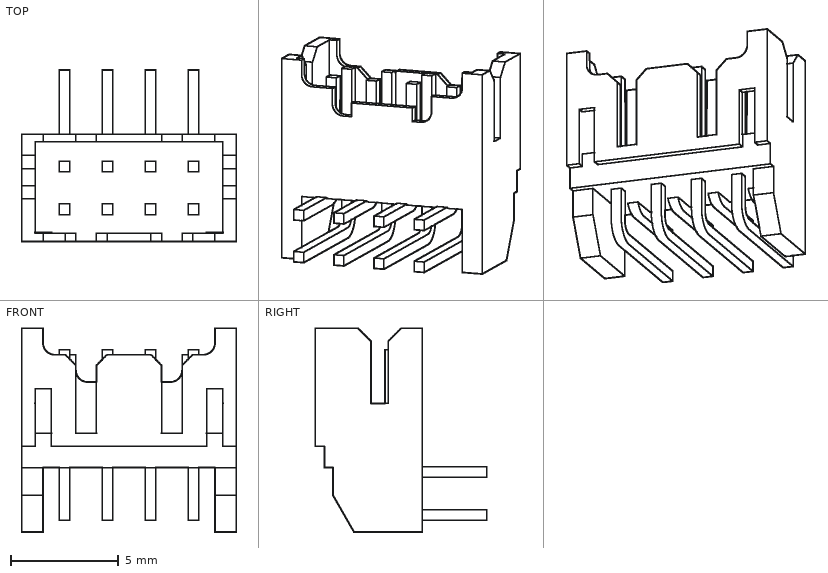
import cadquery as cq

width = 10.0
depth = 5.0
height = 9.5
half_width = width / 2

floor_z = 4.61
front_wall_z = 4.0
base_z = 3.0
shoulder_z = 8.27

side_wall = 0.63
front_wall = 0.39
back_wall = 0.35
base_setback = 0.43
leg_setback = 0.83
leg_width = 1.0
leg_slope_depth = 0.98
leg_slope_z = 1.71

post_width = 1.0
notch_radius = 0.54
tab_chamfer = 0.5
tab_half_width = 1.52
slot_outer_x = 2.47
back_slot_z = 7.0
back_tab_z = 7.65

window_inner_x = 3.61
window_outer_x = half_width - side_wall
window_top_z = 6.67

side_slot_front = 2.61
side_slot_back = 3.4
side_slot_z = 6.0
side_slot_chamfer = 0.61

pin_size = 0.5
pin_pitch = 2.0
pins_per_row = 4
pin_top_z = 8.5
pin_tail_y = 8.0
bend_radius = 1.0
front_row = (1.5, 0.8)
back_row = (3.5, 2.8)


def box(x_range, y_range, z_range):
    """Box between the given limits on each axis."""
    (x0, x1), (y0, y1), (z0, z1) = x_range, y_range, z_range
    return cq.Workplane("XY").box(x1 - x0, y1 - y0, z1 - z0, centered=False).translate((x0, y0, z0))


def mirror_pair(solid):
    """The solid together with its mirror image across X = 0."""
    return solid.union(solid.mirror("YZ"))


def extrude_along_x(profile, x_start, length):
    """Extrude a closed YZ profile towards +X."""
    return profile.extrude(length).translate((x_start, 0, 0))


def extrude_along_y(profile, y_start, length):
    """Extrude a closed XZ profile towards +Y."""
    return profile.extrude(-length).translate((0, y_start, 0))


def make_housing():
    """Stepped body on two legs, with an open cavity above the floor."""
    profile = (
        cq.Workplane("YZ")
        .moveTo(depth, 0)
        .lineTo(leg_setback + leg_slope_depth, 0)
        .lineTo(leg_setback, leg_slope_z)
        .lineTo(leg_setback, base_z)
        .lineTo(base_setback, base_z)
        .lineTo(base_setback, front_wall_z)
        .lineTo(0, front_wall_z)
        .lineTo(0, height)
        .lineTo(depth, height)
        .close()
    )
    leg_inner_x = half_width - leg_width
    cavity_x = half_width - side_wall
    leg_gap = box((-leg_inner_x, leg_inner_x), (0, depth), (0, base_z))
    cavity = box((-cavity_x, cavity_x), (front_wall, depth - back_wall), (floor_z, height))
    return extrude_along_x(profile, -half_width, width).cut(leg_gap).cut(cavity)


def notch_start(plane):
    """Path from the top centre down a corner post and round onto the shoulder."""
    post_x = half_width - post_width
    return (
        plane.moveTo(0, height)
        .lineTo(post_x, height)
        .lineTo(post_x, shoulder_z + notch_radius)
        .radiusArc((post_x - notch_radius, shoulder_z), notch_radius)
    )


def make_front_opening():
    """Half of the front wall's opening: shoulder, slot and chamfered centre tab."""
    profile = (
        notch_start(cq.Workplane("XZ"))
        .lineTo(slot_outer_x + tab_chamfer, shoulder_z)
        .lineTo(slot_outer_x, shoulder_z - tab_chamfer)
        .lineTo(slot_outer_x, floor_z)
        .lineTo(tab_half_width, floor_z)
        .lineTo(tab_half_width, shoulder_z - tab_chamfer)
        .lineTo(tab_half_width - tab_chamfer, shoulder_z)
        .lineTo(0, shoulder_z)
        .close()
    )
    return extrude_along_y(profile, 0, front_wall)


def make_back_opening():
    """Half of the back wall's opening: shoulder, rounded notch and centre tab."""
    profile = (
        notch_start(cq.Workplane("XZ"))
        .lineTo(slot_outer_x, shoulder_z)
        .lineTo(slot_outer_x, back_slot_z + notch_radius)
        .radiusArc((slot_outer_x - notch_radius, back_slot_z), notch_radius)
        .lineTo(tab_half_width, back_slot_z)
        .lineTo(tab_half_width, back_tab_z)
        .lineTo(0, back_tab_z)
        .close()
    )
    return extrude_along_y(profile, depth - back_wall, back_wall)


def make_window():
    """Window through the front wall next to a corner, reaching back to the base block."""
    return box((window_inner_x, window_outer_x), (0, base_setback), (front_wall_z, window_top_z))


def make_side_slot():
    """Slot through a side wall with a chamfered mouth."""
    mouth_z = height - side_slot_chamfer
    profile = (
        cq.Workplane("YZ")
        .moveTo(side_slot_front, side_slot_z)
        .lineTo(side_slot_back, side_slot_z)
        .lineTo(side_slot_back, mouth_z)
        .lineTo(side_slot_back + side_slot_chamfer, height)
        .lineTo(side_slot_front - side_slot_chamfer, height)
        .lineTo(side_slot_front, mouth_z)
        .close()
    )
    return extrude_along_x(profile, half_width - side_wall, side_wall)


def make_pin(x, upright_y, tail_z):
    """Square pin bent from an upright into a tail leaving through the back."""
    front_y = upright_y - pin_size / 2
    back_y = front_y + pin_size
    bottom_z = tail_z - pin_size / 2
    top_z = bottom_z + pin_size
    bend_y = front_y + bend_radius
    bend_z = bottom_z + bend_radius
    profile = (
        cq.Workplane("YZ")
        .moveTo(front_y, pin_top_z)
        .lineTo(front_y, bend_z)
        .radiusArc((bend_y, bottom_z), -bend_radius)
        .lineTo(pin_tail_y, bottom_z)
        .lineTo(pin_tail_y, top_z)
        .lineTo(bend_y, top_z)
        .radiusArc((back_y, bend_z), bend_radius - pin_size)
        .lineTo(back_y, pin_top_z)
        .close()
    )
    return extrude_along_x(profile, x - pin_size / 2, pin_size)


result = make_housing()
for opening in (make_front_opening(), make_back_opening(), make_window(), make_side_slot()):
    result = result.cut(mirror_pair(opening))

first_pin_x = -pin_pitch * (pins_per_row - 1) / 2
for row_y, row_tail_z in (front_row, back_row):
    for index in range(pins_per_row):
        result = result.union(make_pin(first_pin_x + index * pin_pitch, row_y, row_tail_z))